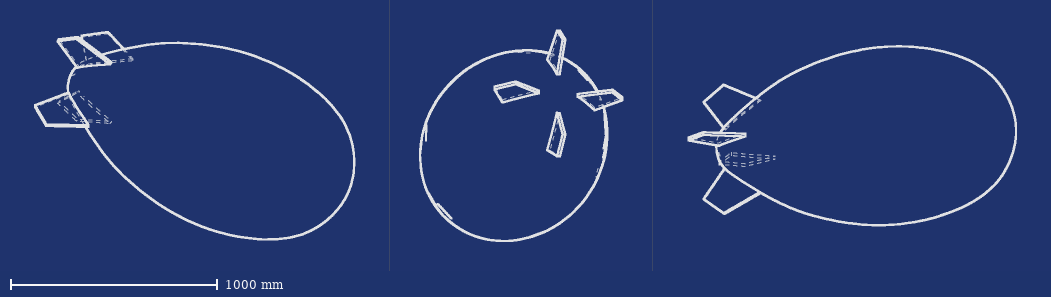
import cadquery as cq

nose_x = 1572.0
tail_x = 70.0
widest_x = 959.0
max_radius = 430.0

tail_stations = [(90.0, 74.0), (151.0, 135.0), (302.0, 240.0), (445.0, 320.0), (586.0, 374.0), (728.0, 410.0)]
nose_stations = [(1155.0, 409.0), (1297.0, 366.0), (1440.0, 281.0), (1517.0, 187.0)]

fin_count = 4
fin_thickness = 14.0
fin_rear_tip = (0.0, 242.0)
fin_outer_tip = (102.0, 320.0)
fin_front_root = (290.0, 230.0)
fin_rear_root = (107.0, 97.0)
fin_embed_point = (290.0, 97.0)


def make_envelope():
    stations = tail_stations + [(widest_x, max_radius)] + nose_stations + [(nose_x, 0)]
    return (
        cq.Workplane("XY")
        .moveTo(tail_x, 0)
        .spline(stations, tangents=[(0, 1), (0, -1)], includeCurrent=True, scale=False)
        .close()
        .revolve(360, (0, 0, 0), (1, 0, 0))
    )


def make_fin(angle):
    outline = [fin_rear_tip, fin_outer_tip, fin_front_root, fin_embed_point, fin_rear_root]
    fin = cq.Workplane("XY").polyline(outline).close().extrude(fin_thickness / 2, both=True)
    return fin.rotate((0, 0, 0), (1, 0, 0), angle)


result = make_envelope()
for index in range(fin_count):
    result = result.union(make_fin(index * 360 / fin_count))